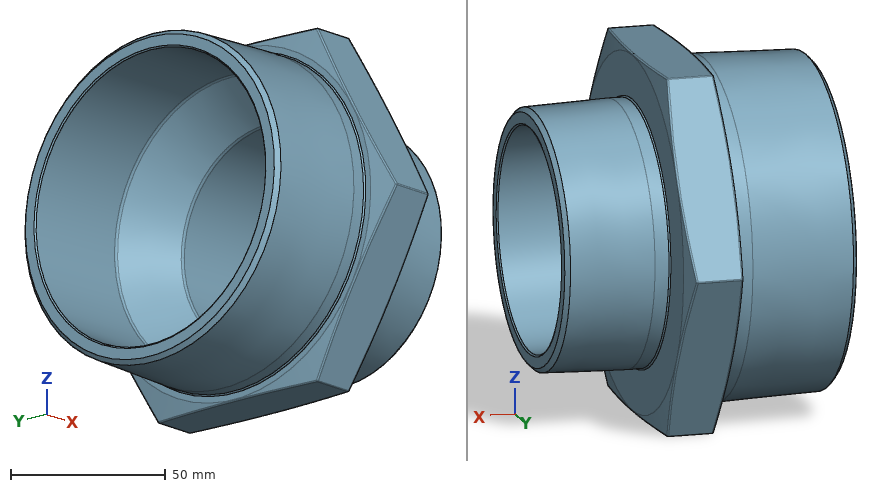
import cadquery as cq
import math


total_length = 95.0
hex_start = 41.0
hex_thickness = 19.0
hex_end = hex_start + hex_thickness

large_thread_diameter = 113.68
large_thread_length = 35.8
small_thread_diameter = 88.46
small_thread_length = 29.8
thread_taper = 1 / 16
end_chamfer = 1.5
root_fillet = 0.5

across_flats = 120.0
across_corners = across_flats / math.cos(math.radians(30))
hex_chamfer_face_diameter = 119.0
hex_chamfer_angle = 10.0
hex_edge_fillet = 0.5

large_bore_diameter = 100.0
small_bore_diameter = 75.0
large_bore_depth = 39.25
small_bore_depth = 37.0
bore_blend_radius = 2.0
bore_mouth_chamfer = 0.5


def tapered_end(full_diameter, taper_length, end_length):
    """Solid thread end with its tip at x = 0 and its root fillet at x = end_length."""
    full_radius = full_diameter / 2
    tip_radius = full_radius - taper_length * thread_taper / 2
    return (
        cq.Workplane("XZ")
        .lineTo(0, tip_radius - end_chamfer)
        .lineTo(end_chamfer, tip_radius + end_chamfer * thread_taper / 2)
        .lineTo(taper_length, full_radius)
        .lineTo(end_length - root_fillet, full_radius)
        .radiusArc((end_length, full_radius + root_fillet), root_fillet)
        .lineTo(end_length, 0)
        .close()
        .revolve(360, (0, 0, 0), (1, 0, 0))
    )


def hexagon():
    """Hexagon with flats on top and bottom, both faces turned to a shallow cone, outer edges rounded."""
    prism = (
        cq.Workplane("YZ", origin=(hex_start, 0, 0))
        .polygon(6, across_corners)
        .extrude(hex_thickness)
    )
    face_radius = hex_chamfer_face_diameter / 2
    outer_radius = across_corners / 2
    cone_depth = (outer_radius - face_radius) * math.tan(math.radians(hex_chamfer_angle))
    turned_envelope = (
        cq.Workplane("XZ")
        .moveTo(hex_start, 0)
        .lineTo(hex_start, face_radius)
        .lineTo(hex_start + cone_depth, outer_radius)
        .lineTo(hex_end - cone_depth, outer_radius)
        .lineTo(hex_end, face_radius)
        .lineTo(hex_end, 0)
        .close()
        .revolve(360, (0, 0, 0), (1, 0, 0))
    )
    turned = prism.intersect(turned_envelope)
    return turned.edges("not %CIRCLE").fillet(hex_edge_fillet)


def bore():
    """Cutter for the stepped through bore: chamfered mouths and a cone blended into both cylinders."""
    large_radius = large_bore_diameter / 2
    small_radius = small_bore_diameter / 2
    cone_end = total_length - small_bore_depth
    cutter = (
        cq.Workplane("XZ")
        .lineTo(0, large_radius + bore_mouth_chamfer)
        .lineTo(bore_mouth_chamfer, large_radius)
        .lineTo(large_bore_depth, large_radius)
        .lineTo(cone_end, small_radius)
        .lineTo(total_length - bore_mouth_chamfer, small_radius)
        .lineTo(total_length, small_radius + bore_mouth_chamfer)
        .lineTo(total_length, 0)
        .close()
        .revolve(360, (0, 0, 0), (1, 0, 0))
    )
    mid_length = (large_bore_depth + cone_end) / 2
    transition = cutter.faces(cq.selectors.NearestToPointSelector((mid_length, 0, 0)))
    return transition.edges("%CIRCLE").fillet(bore_blend_radius)


large_end = tapered_end(large_thread_diameter, large_thread_length, hex_start)
small_end_at_origin = tapered_end(small_thread_diameter, small_thread_length, total_length - hex_end)
small_end = small_end_at_origin.mirror("YZ").translate((total_length, 0, 0))
result = hexagon().union(large_end).union(small_end).cut(bore())